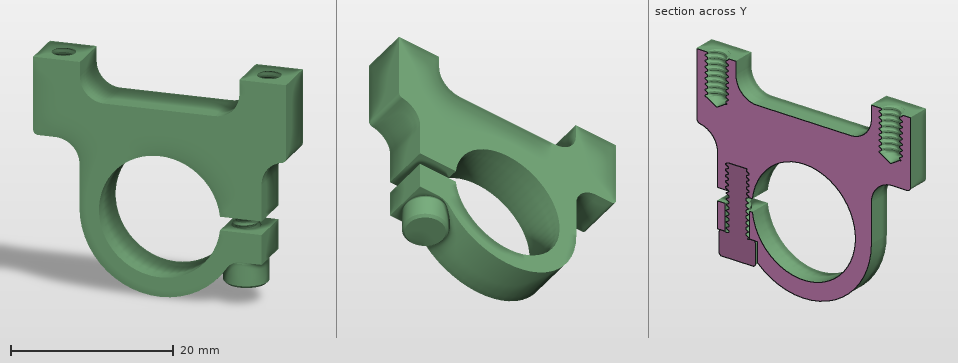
import cadquery as cq
import math


width = 33.02
thickness = 6.35
bore_radius = 7.92
ring_wall = 2.55
ring_radius = bore_radius + ring_wall
top_height = 19.05
leg_width = 6.1
notch_depth = 5.1
flange_height = 10.17
inner_fillet = 3.17
corner_round = 0.63

slit_height = 1.78
lug_reach = 13.3
lug_seat_depth = 4.8
lug_fillet = 2.18

thread_pitch = 0.8
thread_major_radius = 1.75
thread_minor_radius = 1.35
thread_crest_width = 0.1
thread_half_angle = 30.0
ridge_root_overlap = 0.05

screw_x = 10.25
screw_length = 9.5
head_radius = 2.87
head_height = 3.53
head_chamfer = 0.33
head_seat_chamfer = 0.13
screw_thread_angle = 100.0

clearance_radius = 1.85
head_recess_radius = 3.07

tapped_hole_inset = 3.1
tapped_hole_depth = 6.35
drill_tip_angle = 118.0
tapped_thread_angle = 243.0

half_width = width / 2
flange_z = top_height - flange_height


def threaded_rod(length, thread_angle):
    """Right-hand threaded rod standing on Z = 0; at its foot the crest lies at thread_angle."""
    crest_half = thread_crest_width / 2
    root_radius = thread_minor_radius - ridge_root_overlap
    root_half = crest_half + (thread_major_radius - root_radius) * math.tan(math.radians(thread_half_angle))
    helix = cq.Wire.makeHelix(thread_pitch, length + 2 * thread_pitch, thread_minor_radius)
    ridge = (
        cq.Workplane("XZ")
        .polyline([
            (root_radius, -root_half),
            (thread_major_radius, -crest_half),
            (thread_major_radius, crest_half),
            (root_radius, root_half),
        ])
        .close()
        .sweep(cq.Workplane(helix), isFrenet=True)
        .translate((0, 0, -thread_pitch))
    )
    core = cq.Workplane("XY").workplane(offset=-2 * thread_pitch).circle(thread_minor_radius)
    core = core.extrude(length + 4 * thread_pitch)
    envelope = cq.Workplane("XY").circle(2 * thread_major_radius).extrude(length)
    return core.union(ridge).intersect(envelope).rotate((0, 0, 0), (0, 0, 1), thread_angle)


def housing_blank():
    """Flange, legs, ring and lugs as one extruded outline, before any holes."""
    notch_x = half_width - leg_width
    notch_z = top_height - notch_depth
    diagonal = math.sqrt(0.5)

    left_center_x = -ring_radius - inner_fillet
    fillet_center_z = flange_z - inner_fillet

    right_center_x = lug_reach + inner_fillet
    round_center_x = half_width - corner_round
    center_dx = round_center_x - right_center_x
    center_dz = math.sqrt((inner_fillet + corner_round) ** 2 - center_dx ** 2)
    round_center_z = fillet_center_z + center_dz
    fillet_share = inner_fillet / (inner_fillet + corner_round)
    meet_x = right_center_x + center_dx * fillet_share
    meet_z = fillet_center_z + center_dz * fillet_share
    meet_angle = math.atan2(center_dz, center_dx)
    fillet_mid_angle = (meet_angle + math.pi) / 2
    round_mid_angle = (meet_angle - math.pi) / 2

    lug_center_z = -lug_seat_depth - lug_fillet
    lug_center_x = math.sqrt((ring_radius + lug_fillet) ** 2 - lug_center_z ** 2)
    ring_share = ring_radius / (ring_radius + lug_fillet)
    ring_end = (lug_center_x * ring_share, lug_center_z * ring_share)
    ring_end_angle = math.atan2(-lug_center_z, -lug_center_x)
    lug_mid_angle = (ring_end_angle + math.pi / 2) / 2
    ring_mid_angle = (math.atan2(lug_center_z, lug_center_x) - math.pi) / 2

    def on_circle(x, z, radius, angle):
        return (x + radius * math.cos(angle), z + radius * math.sin(angle))

    return (
        cq.Workplane("XZ")
        .moveTo(-half_width, top_height)
        .lineTo(-notch_x, top_height)
        .lineTo(-notch_x, notch_z + inner_fillet)
        .threePointArc(
            (-notch_x + inner_fillet * (1 - diagonal), notch_z + inner_fillet * (1 - diagonal)),
            (-notch_x + inner_fillet, notch_z),
        )
        .lineTo(notch_x - inner_fillet, notch_z)
        .threePointArc(
            (notch_x - inner_fillet * (1 - diagonal), notch_z + inner_fillet * (1 - diagonal)),
            (notch_x, notch_z + inner_fillet),
        )
        .lineTo(notch_x, top_height)
        .lineTo(half_width, top_height)
        .lineTo(half_width, round_center_z)
        .threePointArc(
            on_circle(round_center_x, round_center_z, corner_round, round_mid_angle),
            (meet_x, meet_z),
        )
        .threePointArc(
            on_circle(right_center_x, fillet_center_z, inner_fillet, fillet_mid_angle),
            (lug_reach, fillet_center_z),
        )
        .lineTo(lug_reach, -lug_seat_depth)
        .lineTo(lug_center_x, -lug_seat_depth)
        .threePointArc(on_circle(lug_center_x, lug_center_z, lug_fillet, lug_mid_angle), ring_end)
        .threePointArc(on_circle(0, 0, ring_radius, ring_mid_angle), (-ring_radius, 0))
        .lineTo(-ring_radius, fillet_center_z)
        .threePointArc(
            on_circle(left_center_x, fillet_center_z, inner_fillet, math.pi / 4),
            (left_center_x, flange_z),
        )
        .lineTo(-half_width + corner_round, flange_z)
        .threePointArc(
            (-half_width + corner_round * (1 - diagonal), flange_z + corner_round * (1 - diagonal)),
            (-half_width, flange_z + corner_round),
        )
        .close()
        .extrude(thickness / 2, both=True)
    )


def bore_and_slit():
    bore = cq.Workplane("XZ").circle(bore_radius).extrude(thickness, both=True)
    slit = cq.Workplane("XY").box(width, 2 * thickness, slit_height, centered=(False, True, True))
    return bore.union(slit)


def tapped_hole():
    """Cutter for a blind tapped hole, entering downward at Z = 0."""
    tip_height = thread_minor_radius / math.tan(math.radians(drill_tip_angle / 2))
    thread = threaded_rod(tapped_hole_depth, tapped_thread_angle).translate((0, 0, -tapped_hole_depth))
    tip = cq.Solid.makeCone(
        thread_minor_radius, 0, tip_height, cq.Vector(0, 0, -tapped_hole_depth), cq.Vector(0, 0, -1)
    )
    return thread.union(cq.Workplane(tip))


def screw_shank():
    return threaded_rod(screw_length, screw_thread_angle).translate((screw_x, 0, -lug_seat_depth))


def make_housing():
    """Clamp housing with its bore, slit, screw hole and tapped holes."""
    body = housing_blank().cut(bore_and_slit())
    seat = cq.Workplane("XY", origin=(screw_x, 0, -lug_seat_depth))
    body = body.cut(seat.circle(clearance_radius).extrude(lug_seat_depth))
    body = body.cut(seat.circle(head_recess_radius).extrude(-ring_radius))
    body = body.cut(screw_shank())
    for side in (-1, 1):
        hole_x = side * (half_width - tapped_hole_inset)
        body = body.cut(tapped_hole().translate((hole_x, 0, top_height)))
    return body


def make_screw():
    """Cap screw with its head below the lower lug."""
    head = (
        cq.Workplane("XY", origin=(screw_x, 0, -lug_seat_depth))
        .circle(head_radius)
        .extrude(-head_height)
        .faces("<Z").chamfer(head_chamfer)
    )
    seat_edge = head.faces(">Z").edges()
    head = seat_edge.chamfer(head_chamfer, head_seat_chamfer)
    return head.union(screw_shank())


housing = make_housing()
screw = make_screw()
result = cq.Compound.makeCompound([housing.solids().val(), screw.solids().val()])